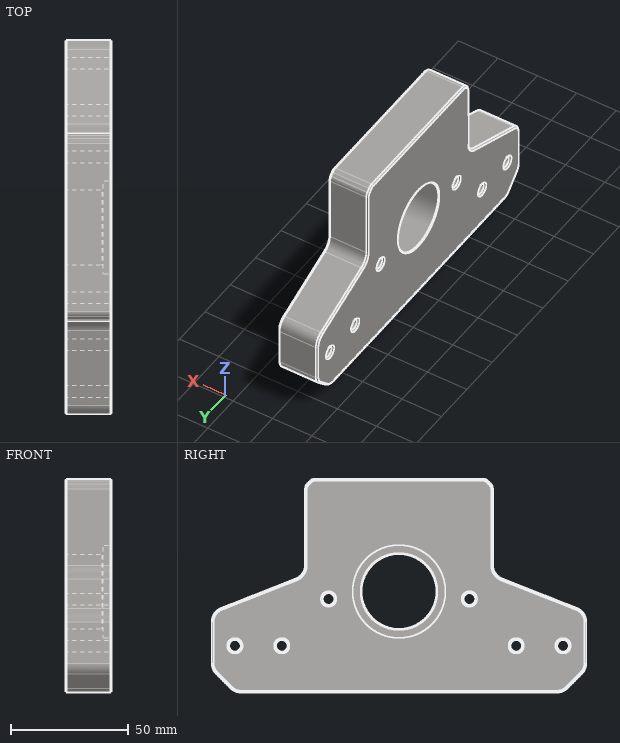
import cadquery as cq
width = 159.8
height = 91.2
thickness = 20.0
edge_bevel = 0.8

tower_width = 80.2
shoulder_outer_z = 34.5
shoulder_inner_z = 50.2
foot_chamfer = 9.9
top_chamfer = 3.0
outline_radius = 6.2
top_radius = 3.0

bore_diameter = 32.0
bore_z = 43.1
bore_bevel = 0.4
recess_diameter = 39.6
recess_depth = 3.8

bolt_diameter = 5.0
bolt_bevel = 0.8
bolt_lower_z = 20.0
bolt_upper_z = 40.0
bolt_offsets = [(30.0, bolt_upper_z), (50.0, bolt_lower_z), (70.0, bolt_lower_z)]


def outline_plate():
    """Straight-sided plate with all its outline corners rounded."""
    half_width = width / 2
    half_tower = tower_width / 2
    right_half = [
        (half_width - foot_chamfer, 0),
        (half_width, foot_chamfer),
        (half_width, shoulder_outer_z),
        (half_tower, shoulder_inner_z),
        (half_tower, height - top_chamfer),
        (half_tower - top_chamfer, height),
    ]
    left_half = [(-y, z) for y, z in reversed(right_half)]
    plate = (
        cq.Workplane("YZ")
        .polyline(right_half + left_half)
        .close()
        .extrude(thickness / 2, both=True)
    )
    top_zone = cq.selectors.BoxSelector(
        (-thickness, -half_width, height - 2 * top_chamfer),
        (thickness, half_width, height + top_chamfer),
    )
    long_edges = cq.selectors.ParallelDirSelector(cq.Vector(1, 0, 0))
    plate = plate.edges(long_edges - top_zone).fillet(outline_radius)
    plate = plate.edges(long_edges & top_zone).fillet(top_radius)
    return plate.faces("<X or >X").chamfer(edge_bevel)


def beveled_hole(y, z, diameter, bevel, x_end=thickness / 2):
    """Cutter along X from the -X face to x_end, with a 45 degree bevel at both mouths."""
    x_start = -thickness / 2
    radius = diameter / 2
    profile = [
        (x_start, 0),
        (x_start, radius + bevel),
        (x_start + bevel, radius),
        (x_end - bevel, radius),
        (x_end, radius + bevel),
        (x_end, 0),
    ]
    cutter = cq.Workplane("XY").polyline(profile).close().revolve(360, (0, 0), (1, 0))
    return cutter.translate((0, y, z))


recess_floor_x = thickness / 2 - recess_depth
recess = (
    cq.Workplane("YZ", origin=(recess_floor_x, 0, bore_z))
    .circle(recess_diameter / 2)
    .extrude(recess_depth)
)

result = outline_plate().cut(recess)
result = result.cut(beveled_hole(0, bore_z, bore_diameter, bore_bevel, recess_floor_x))
for offset, z in bolt_offsets:
    for y in (-offset, offset):
        result = result.cut(beveled_hole(y, z, bolt_diameter, bolt_bevel))